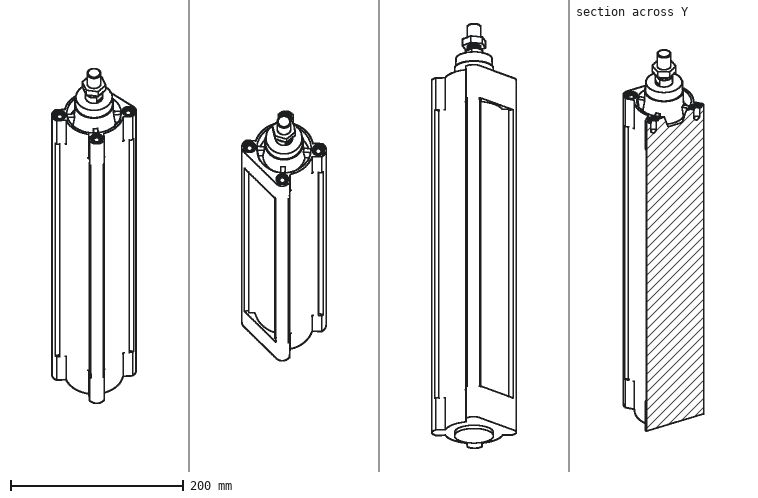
import cadquery as cq
import math

TOTAL_LENGTH = 513.0
REAR_BOSS_HEIGHT = 4.0
HEAD_LENGTH = 40.0
HEAD_TOP = 445.0
HEAD_BOTTOM = HEAD_TOP - HEAD_LENGTH
REAR_HEAD_TOP = REAR_BOSS_HEIGHT + HEAD_LENGTH

WIDTH = 75.0
HALF_WIDTH = WIDTH / 2
CORNER_RADIUS = 9.0
BARREL_RADIUS = 34.5
LEG_START = 25.0
LEG_OFFSET = HALF_WIDTH - LEG_START
LEG_END = 15.5

GROOVE_OUTER = 27.0
GROOVE_ROOT = 24.0
GROOVE_INNER = 22.5
GROOVE_DEPTH = 5.0
ROOT_FILLET = 1.5

HOLE_PITCH = WIDTH - 2 * CORNER_RADIUS
MOUTH_DIAMETER = 14.0
SCREW_BORE_DIAMETER = 12.0
SEAT_DEPTH = 2.0
THREAD_HOLE_DIAMETER = 8.0
CORE_HOLE_DIAMETER = 6.5
SCREW_HOLE_DEPTH = 15.5

COLLAR_DIAMETER = 45.0
COLLAR_TOP = 460.0
NOSE_DIAMETER = 42.0
NOSE_BASE_DIAMETER = 43.0
NOSE_TOP = 472.0
RECESS_DIAMETER = 63.0
RECESS_DEPTH = 15.5
RECESS_DRAFT = 2.0
RIB_WIDTH = 5.0
RIB_DROP = 2.0

ROD_DIAMETER = 20.0
ROD_SHOULDER = 481.5
ROD_FLATS = 17.0
FLATS_BOTTOM = 473.5
NECK_DIAMETER = 13.5
THREAD_DIAMETER = 16.0
THREAD_BOTTOM = 484.5
THREAD_CHAMFER = 1.0

NUT_ACROSS_FLATS = 24.0
NUT_THICKNESS = 8.0
NUT_BOTTOM = 487.0


def disc(diameter, bottom, top):
    """Solid cylinder on the Z axis."""
    return cq.Workplane("XY").workplane(offset=bottom).circle(diameter / 2).extrude(top - bottom)


def lug(outline_points, bottom, top):
    """Corner lug in the -X, -Y corner: round outside, mirrored about the diagonal."""
    inner = HALF_WIDTH - CORNER_RADIUS
    arc_middle = inner + CORNER_RADIUS * math.sqrt(0.5)
    mirrored = [(y, x) for x, y in reversed(outline_points)]
    return (
        cq.Workplane("XY").workplane(offset=bottom)
        .moveTo(-inner, -HALF_WIDTH)
        .polyline(outline_points, includeCurrent=True)
        .lineTo(0, 0)
        .polyline(mirrored, includeCurrent=True)
        .lineTo(-HALF_WIDTH, -inner)
        .threePointArc((-arc_middle, -arc_middle), (-inner, -HALF_WIDTH))
        .close()
        .extrude(top - bottom)
    )


def barrel_with_lugs(outline_points, bottom, top):
    """Round barrel with one lug in each corner."""
    body = disc(2 * BARREL_RADIUS, bottom, top).rotate((0, 0, 0), (0, 0, 1), 45)
    corner = lug(outline_points, bottom, top)
    for quarter in range(4):
        body = body.union(corner.rotate((0, 0, 0), (0, 0, 1), 90 * quarter))
    return body


def head(bottom):
    """End head: plain lugs, with the +Y side filled out to a flat face."""
    top = bottom + HEAD_LENGTH
    leg_end = (-LEG_END, -LEG_END - LEG_OFFSET)
    body = barrel_with_lugs([(-LEG_START, -HALF_WIDTH), leg_end], bottom, top)
    flat_side = (
        cq.Workplane("XY").workplane(offset=bottom)
        .rect(HOLE_PITCH, HALF_WIDTH).extrude(HEAD_LENGTH)
        .translate((0, HALF_WIDTH / 2, 0))
    )
    return body.union(flat_side)


def is_lug_root(edge):
    """True for an upright edge where a lug leg meets the round barrel."""
    centre = edge.Center()
    return math.isclose(math.hypot(centre.x, centre.y), BARREL_RADIUS, abs_tol=0.0005)


def tube():
    """Profile tube: lugs with a groove along each side and a filleted root."""
    points = [
        (-GROOVE_OUTER, -HALF_WIDTH),
        (-GROOVE_ROOT, -HALF_WIDTH + GROOVE_DEPTH),
        (-GROOVE_INNER, -GROOVE_INNER - LEG_OFFSET),
        (-LEG_END, -LEG_END - LEG_OFFSET),
    ]
    body = barrel_with_lugs(points, REAR_HEAD_TOP, HEAD_BOTTOM)
    roots = body.edges("|Z").filter(is_lug_root)
    return roots.fillet(ROOT_FILLET)


def recess():
    """Ring recess with drafted walls, crossed by four diagonal ribs."""
    floor = HEAD_TOP - RECESS_DEPTH
    inner = COLLAR_DIAMETER / 2
    outer = RECESS_DIAMETER / 2
    ring = (
        cq.Workplane("XZ")
        .polyline([
            (inner, HEAD_TOP),
            (outer, HEAD_TOP),
            (outer - RECESS_DRAFT, floor),
            (inner + RECESS_DRAFT, floor),
        ])
        .close()
        .revolve(360, (0, 0, 0), (0, 1, 0))
    )
    rib = (
        cq.Workplane("XY").workplane(offset=floor)
        .rect(RECESS_DIAMETER, RIB_WIDTH)
        .extrude(RECESS_DEPTH - RIB_DROP)
    )
    for angle in (45, 135):
        ring = ring.cut(rib.rotate((0, 0, 0), (0, 0, 1), angle))
    return ring


def screw_hole():
    """Stepped screw hole with a drill point, its mouth at the origin."""
    mouth = MOUTH_DIAMETER / 2
    bore = SCREW_BORE_DIAMETER / 2
    thread = THREAD_HOLE_DIAMETER / 2
    core = CORE_HOLE_DIAMETER / 2
    return (
        cq.Workplane("XZ")
        .polyline([
            (0, 0),
            (mouth, 0),
            (bore, bore - mouth),
            (bore, -SEAT_DEPTH),
            (thread, -SEAT_DEPTH),
            (core, -SEAT_DEPTH - thread + core),
            (core, -SCREW_HOLE_DEPTH),
            (0, -SCREW_HOLE_DEPTH - core),
        ])
        .close()
        .revolve(360, (0, 0, 0), (0, 1, 0))
    )


def make_housing():
    """Heads, tube, collar and rear boss in one piece, bored for the rod."""
    front_head = head(HEAD_BOTTOM).cut(recess())
    body = front_head.union(tube(), clean=False).union(head(REAR_BOSS_HEIGHT), clean=False)
    body = body.union(disc(COLLAR_DIAMETER, 0, REAR_BOSS_HEIGHT), clean=False)
    body = body.union(disc(COLLAR_DIAMETER, HEAD_TOP, COLLAR_TOP), clean=False)
    nose = (
        cq.Workplane("XY").workplane(offset=COLLAR_TOP)
        .circle(NOSE_BASE_DIAMETER / 2)
        .workplane(offset=NOSE_TOP - COLLAR_TOP)
        .circle(NOSE_DIAMETER / 2)
        .loft()
    )
    body = body.union(nose, clean=False)
    hole = screw_hole()
    for x in (-HOLE_PITCH / 2, HOLE_PITCH / 2):
        for y in (-HOLE_PITCH / 2, HOLE_PITCH / 2):
            body = body.cut(hole.translate((x, y, HEAD_TOP)), clean=False)
    return body.cut(disc(ROD_DIAMETER, HEAD_BOTTOM, NOSE_TOP), clean=False)


def make_rod():
    """Piston rod with two wrench flats facing X, a neck and a threaded end."""
    shank = disc(ROD_DIAMETER, HEAD_BOTTOM, ROD_SHOULDER)
    flats = (
        cq.Workplane("XY").workplane(offset=FLATS_BOTTOM)
        .rect(2 * ROD_DIAMETER, ROD_DIAMETER)
        .rect(ROD_FLATS, ROD_DIAMETER)
        .extrude(ROD_SHOULDER - FLATS_BOTTOM)
    )
    neck = disc(NECK_DIAMETER, ROD_SHOULDER, THREAD_BOTTOM)
    thread = disc(THREAD_DIAMETER, THREAD_BOTTOM, TOTAL_LENGTH)
    thread = thread.faces("<Z or >Z").chamfer(THREAD_CHAMFER)
    return shank.cut(flats).union(neck).union(thread)


def make_nut():
    """Hexagon nut on the thread, two of its corners pointing along Y."""
    across_corners = NUT_ACROSS_FLATS / math.cos(math.radians(30))
    return (
        cq.Workplane("XY").workplane(offset=NUT_BOTTOM)
        .transformed(rotate=(0, 0, 90))
        .polygon(6, across_corners)
        .circle(THREAD_DIAMETER / 2)
        .extrude(NUT_THICKNESS)
    )


housing = make_housing()
rod = make_rod()
nut = make_nut()

result = cq.Compound.makeCompound([housing.solids().val(), rod.solids().val(), nut.solids().val()])